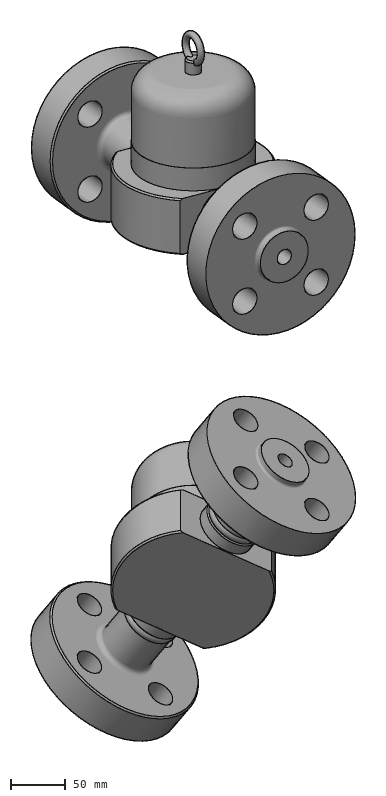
import cadquery as cq
import math

overall_length = 320.0
end_x = overall_length / 2
flange_diameter = 159.0
flange_face_x = 153.3
flange_back_x = 118.7
flange_chamfer = 1.5
raised_face_diameter = 51.0
raised_face_fillet = 2.2
pipe_diameter = 52.8
hub_fillet = 4.8
bore_diameter = 15.0
bolt_hole_diameter = 26.0
bolt_circle_diameter = 107.5
bolt_hole_count = 4

joint_x = 70.0
bead_width = 7.0
bead_height = 1.3

block_diameter = 150.0
block_width = 114.2
block_bottom_z = -28.8
block_top_z = 28.0
block_chamfer = 1.5
stub_diameter = 55.5
stub_chamfer = 1.3

cover_base_diameter = 113.3
cover_base_top_z = 51.0
cover_diameter = 113.0
cover_top_z = 121.3
cover_fillet = 20.0

post_diameter = 15.0
post_top_z = 135.0
post_chamfer_height = 2.0
post_chamfer_width = 1.3
eye_diameter = 33.3
eye_wire_diameter = 6.7
eye_top_z = 161.3


def x_cylinder(diameter, start_x, stop_x):
    """Cylinder on the X axis between two X positions."""
    return cq.Workplane("YZ", origin=(start_x, 0, 0)).circle(diameter / 2).extrude(stop_x - start_x)


def z_cylinder(diameter, bottom_z, top_z):
    """Cylinder on the Z axis between two heights."""
    return cq.Workplane("XY", origin=(0, 0, bottom_z)).circle(diameter / 2).extrude(top_z - bottom_z)


def make_block():
    height = block_top_z - block_bottom_z
    round_block = z_cylinder(block_diameter, block_bottom_z, block_top_z)
    round_block = round_block.faces("<Z or >Z").chamfer(block_chamfer)
    middle_z = (block_bottom_z + block_top_z) / 2
    flats = cq.Workplane("XY", origin=(0, 0, middle_z)).box(block_width, block_diameter, height)
    return round_block.intersect(flats)


def make_stubs():
    stubs = x_cylinder(stub_diameter, -joint_x, joint_x)
    return stubs.faces("<X or >X").chamfer(stub_chamfer)


def make_cover():
    base = z_cylinder(cover_base_diameter, block_top_z, cover_base_top_z)
    dome = z_cylinder(cover_diameter, cover_base_top_z, cover_top_z)
    return base.union(dome.faces(">Z").edges().fillet(cover_fillet))


def make_lifting_eye():
    post = z_cylinder(post_diameter, cover_top_z, post_top_z)
    post = post.faces(">Z").chamfer(post_chamfer_height, post_chamfer_width)
    ring_radius = (eye_diameter - eye_wire_diameter) / 2
    ring_center_z = eye_top_z - eye_diameter / 2
    ring = (
        cq.Workplane("YZ", origin=(0, 0, ring_center_z))
        .center(0, -ring_radius)
        .circle(eye_wire_diameter / 2)
        .revolve(360, (0, ring_radius, 0), (1, ring_radius, 0))
    )
    return post.union(ring)


def make_valve_body():
    return make_block().union(make_stubs()).union(make_cover()).union(make_lifting_eye())


def make_flanged_pipe():
    """Flange, pipe and weld bead on the +X side, turned in one profile."""
    pipe_radius = pipe_diameter / 2
    flange_radius = flange_diameter / 2
    face_radius = raised_face_diameter / 2
    bore_radius = bore_diameter / 2
    diagonal = math.sqrt(0.5)
    sag = 1 - diagonal

    profile = (
        cq.Workplane("XY")
        .moveTo(joint_x, bore_radius)
        .lineTo(joint_x, pipe_radius)
        .threePointArc(
            (joint_x + bead_width / 2, pipe_radius + bead_height),
            (joint_x + bead_width, pipe_radius),
        )
        .lineTo(flange_back_x - hub_fillet, pipe_radius)
        .threePointArc(
            (flange_back_x - hub_fillet * sag, pipe_radius + hub_fillet * sag),
            (flange_back_x, pipe_radius + hub_fillet),
        )
        .lineTo(flange_back_x, flange_radius - flange_chamfer)
        .lineTo(flange_back_x + flange_chamfer, flange_radius)
        .lineTo(flange_face_x, flange_radius)
        .lineTo(flange_face_x, face_radius + raised_face_fillet)
        .threePointArc(
            (flange_face_x + raised_face_fillet * sag, face_radius + raised_face_fillet * sag),
            (flange_face_x + raised_face_fillet, face_radius),
        )
        .lineTo(end_x, face_radius)
        .lineTo(end_x, bore_radius)
        .close()
    )
    turned = profile.revolve(360, (0, 0, 0), (1, 0, 0))
    bolt_holes = (
        cq.Workplane("YZ", origin=(flange_back_x, 0, 0))
        .polarArray(bolt_circle_diameter / 2, 180 / bolt_hole_count, 360, bolt_hole_count)
        .circle(bolt_hole_diameter / 2)
        .extrude(flange_face_x - flange_back_x)
    )
    return turned.cut(bolt_holes)


valve_body = make_valve_body()

flanged_pipes = []
for turn in (0, 180):
    flanged_pipe = make_flanged_pipe().rotate((0, 0, 0), (0, 0, 1), turn)
    flanged_pipes.append(flanged_pipe.val())

result = cq.Compound.makeCompound([valve_body.val(), *flanged_pipes])